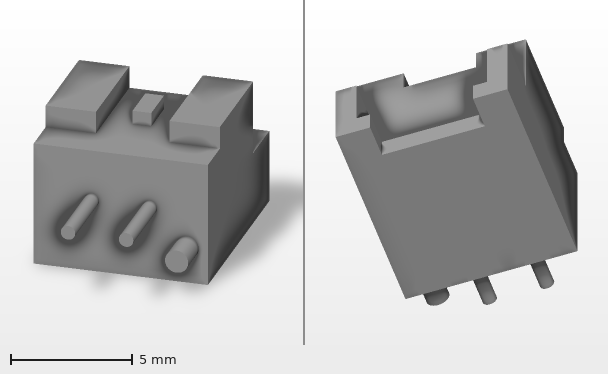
import cadquery as cq

housing_width = 7.5
overall_length = 12.2
overall_height = 6.4
pin_length = 3.4
housing_length = overall_length - pin_length
rail_height = 0.98
deck_height = overall_height - rail_height

tray_length = 2.3
tray_height = 3.17
wall_thickness = 0.9
floor_thickness = wall_thickness
notch_width = 4.49
notch_depth = 1.49
tray_start = housing_length - tray_length

rail_width = 2.17
rail_start = 1.71
rail_length = tray_start - rail_start
key_width = 0.8
key_length = 1.83
key_height = 0.61
key_start = 3.03

pin_diameter = 0.62
pin_pitch = 2.5
pin_height = 3.18
peg_diameter = 1.0
peg_length = 1.49
peg_x = housing_width / 2 - wall_thickness
peg_height = 1.59


def block(width, length, height, start_y, base_z, center_x=0):
    """Box centred on center_x that starts at start_y and stands on base_z."""
    return (
        cq.Workplane("XY")
        .box(width, length, height, centered=(True, False, False))
        .translate((center_x, start_y, base_z))
    )


def front_rod(diameter, length, x, z):
    """Round rod that projects toward -Y from the pin face."""
    return cq.Workplane("XZ").center(x, z).circle(diameter / 2).extrude(length)


result = block(housing_width, tray_start, deck_height, 0, 0)
result = result.union(block(housing_width, tray_length, tray_height, tray_start, 0))

tray_width = housing_width - 2 * wall_thickness
tray_depth = tray_height - floor_thickness
result = result.cut(block(tray_width, tray_length, tray_depth, tray_start, floor_thickness))
result = result.cut(block(notch_width, notch_depth, floor_thickness, housing_length - notch_depth, 0))

rail_x = (housing_width - rail_width) / 2
for side in (-1, 1):
    result = result.union(block(rail_width, rail_length, rail_height, rail_start, deck_height, side * rail_x))
result = result.union(block(key_width, key_length, key_height, key_start, deck_height))

for side in (-1, 1):
    result = result.union(front_rod(pin_diameter, pin_length, side * pin_pitch / 2, pin_height))
result = result.union(front_rod(peg_diameter, peg_length, peg_x, peg_height))